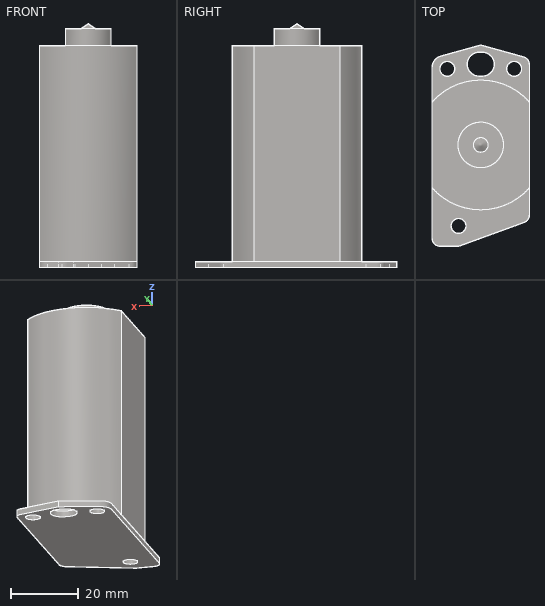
import cadquery as cq
import math

width = 29.0
total_height = 72.45

plate_thickness = 1.8
plate_apex_y = 29.7
plate_bottom_y = -30.1
apex_slope = 15.5
bottom_slope = 20.0
corner_radius = 2.45
large_corner_radius = 3.55

hole_diameter = 4.35
upper_hole_x = 9.9
upper_hole_y = 22.6
lower_hole_x = -6.6
lower_hole_y = -24.05
slot_length = 8.0
slot_width = 7.0
slot_y = 24.0

housing_diameter = 38.55
housing_top = 65.9
boss_diameter = 13.55
boss_top = 71.0
tip_diameter = 4.35


def make_plate():
    """Flat plate with a pointed upper end, a slanted lower end and four openings."""
    half_width = width / 2
    shoulder_y = plate_apex_y - half_width * math.tan(math.radians(apex_slope))
    slant_rise = (half_width - lower_hole_x) * math.tan(math.radians(bottom_slope))
    outline = [
        (0, plate_apex_y),
        (half_width, shoulder_y),
        (half_width, plate_bottom_y + slant_rise),
        (lower_hole_x, plate_bottom_y),
        (-half_width, plate_bottom_y),
        (-half_width, shoulder_y),
    ]
    blank = cq.Workplane("XY").polyline(outline).close().extrude(plate_thickness)

    middle_z = plate_thickness / 2
    apex_corner = cq.selectors.NearestToPointSelector((0, plate_apex_y, middle_z))
    large_corner = cq.selectors.NearestToPointSelector((-half_width, shoulder_y, middle_z))
    upright_edges = cq.selectors.StringSyntaxSelector("|Z")
    rounded = blank.edges(upright_edges - apex_corner - large_corner).fillet(corner_radius)
    rounded = rounded.edges(large_corner).fillet(large_corner_radius)

    hole_centers = [
        (-upper_hole_x, upper_hole_y),
        (upper_hole_x, upper_hole_y),
        (lower_hole_x, lower_hole_y),
    ]
    holes = cq.Workplane("XY").pushPoints(hole_centers).circle(hole_diameter / 2).extrude(plate_thickness)
    slot = cq.Workplane("XY").center(0, slot_y).slot2D(slot_length, slot_width).extrude(plate_thickness)
    return rounded.cut(holes).cut(slot)


def make_housing():
    """Cylinder with two flats, standing on the plate, with a boss and a conical tip."""
    barrel_height = housing_top - plate_thickness
    barrel = cq.Workplane("XY").workplane(offset=plate_thickness).circle(housing_diameter / 2)
    barrel = barrel.extrude(barrel_height)
    flats = cq.Workplane("XY").box(width, housing_diameter, 2 * total_height)
    boss = cq.Workplane("XY").workplane(offset=housing_top).circle(boss_diameter / 2)
    boss = boss.extrude(boss_top - housing_top)
    tip_profile = [(0, boss_top), (tip_diameter / 2, boss_top), (0, total_height)]
    tip = cq.Workplane("XZ").polyline(tip_profile).close().revolve(360, (0, 0), (0, 1))
    return barrel.intersect(flats).union(boss).union(tip)


plate = make_plate()
housing = make_housing()

result = cq.Compound.makeCompound([plate.solids().val(), housing.solids().val()])